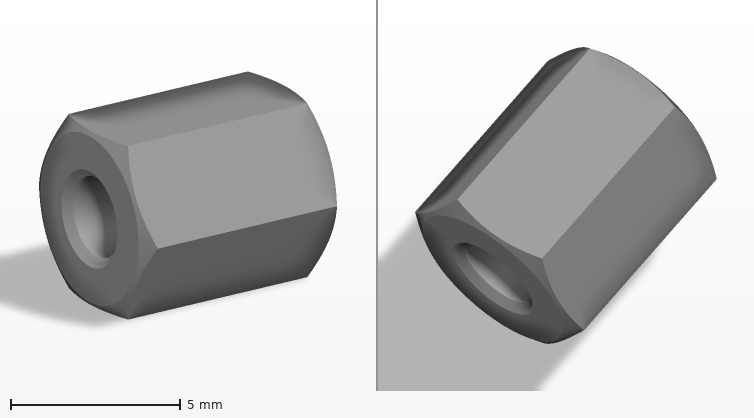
import cadquery as cq
import math

length = 7.0
across_flats = 5.5
face_diameter = 5.25
bore_diameter = 2.5
countersink_diameter = 3.0
corner_chamfer_angle = 30.0

across_corners = across_flats / math.cos(math.radians(30))
half_length = length / 2


def revolve_about_y(points):
    """Revolve a closed (radius, y) outline about the Y axis."""
    return cq.Workplane("XY").polyline(points).close().revolve(360, (0, 0, 0), (0, 1, 0))


def hexagonal_bar():
    """Hexagonal prism with two corners on the X axis."""
    return cq.Workplane("XZ").polygon(6, across_corners).extrude(half_length, both=True)


def corner_chamfer_envelope():
    """Coned cylinder that trims the hexagon corners at both ends."""
    face_radius = face_diameter / 2
    corner_radius = across_corners / 2
    slope = math.tan(math.radians(corner_chamfer_angle))
    shoulder = half_length - (corner_radius - face_radius) * slope
    return revolve_about_y([
        (0, -half_length),
        (face_radius, -half_length),
        (corner_radius, -shoulder),
        (corner_radius, shoulder),
        (face_radius, half_length),
        (0, half_length),
    ])


def countersunk_bore():
    """Through bore with a 45 degree countersink at each end."""
    bore_radius = bore_diameter / 2
    countersink_radius = countersink_diameter / 2
    countersink_floor = half_length - (countersink_radius - bore_radius)
    return revolve_about_y([
        (0, -half_length),
        (countersink_radius, -half_length),
        (bore_radius, -countersink_floor),
        (bore_radius, countersink_floor),
        (countersink_radius, half_length),
        (0, half_length),
    ])


result = hexagonal_bar().intersect(corner_chamfer_envelope()).cut(countersunk_bore())